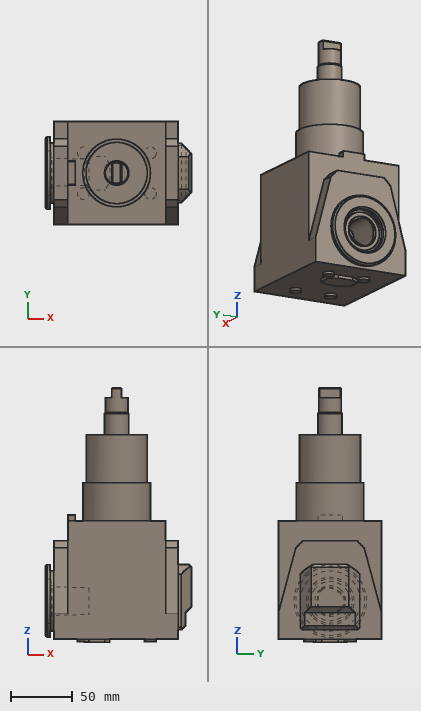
import cadquery as cq
import math


housing_width = 84.0
housing_height = 96.0
housing_half_length = 39.7
flange_left_x = -51.0
flange_right_x = 49.85
flange_top_z = -16.0
flange_taper_bottom_z = -75.0
flange_taper_angle = 15.0
flange_chamfer = 6.0

collar_diameter = 55.0
collar_top_z = 31.0
barrel_diameter = 49.8
barrel_top_z = 70.0
journal_diameter = 19.8
journal_top_z = 86.9
drive_diameter = 18.5
drive_cone_height = 1.2
drive_top_z = 100.2
tang_width = 8.0
tang_top_z = 108.2
tang_chamfer = 1.0
tang_root_fillet = 0.4

key_thickness = 6.2
key_length = 20.0
key_height = 5.1
key_chamfer = 0.7

spindle_z = -65.0
disc_diameter = 59.0
disc_face_x = -58.0
disc_back_x = -54.0
disc_chamfer = 1.5
neck_diameter = 49.0
recess_diameter = 36.0
recess_depth = 4.5
recess_chamfer = 1.4
spindle_diameter = 32.0
spindle_rise = 0.3
seat_diameter = 25.2
seat_depth = 1.0
polygon_mean_radius = 11.4
polygon_lobe = 0.8
polygon_depth = 30.0
polygon_taper = 1.5
lobe_count = 3
polygon_points = 24

cap_face_x = 61.0
cap_diameter = 65.0
cap_half_width = 24.3
cap_top_z = -35.3
cap_bottom_z = -88.6
cap_top_chamfer = 2.5
cap_rim = 2.5
cap_bevel_run = 9.0
cap_step_x = 56.1
cap_step_z = -69.7
cap_bottom_chamfer = 3.5

foot_diameter = 9.5
foot_height = 2.2
foot_x = 27.3
foot_y = 16.5
plate_center_x = -15.9
plate_length = 20.6
plate_width = 27.6
plate_flat_length = 12.4
plate_flat_width = 13.4
plate_height = 2.7


def x_cylinder(diameter, start_x, end_x):
    """Cylinder on the tool spindle axis between two X positions."""
    base = cq.Workplane("YZ", origin=(start_x, 0, spindle_z))
    return base.circle(diameter / 2).extrude(end_x - start_x)


def housing():
    block = cq.Workplane("XY").box(
        2 * housing_half_length, housing_width, housing_height, centered=(True, True, False)
    ).translate((0, 0, -housing_height))
    half_width = housing_width / 2
    shoulder_z = flange_top_z - flange_chamfer
    taper_height = shoulder_z - flange_taper_bottom_z
    shoulder_y = half_width - taper_height * math.tan(math.radians(flange_taper_angle))
    top_y = shoulder_y - flange_chamfer
    flanges = (
        cq.Workplane("YZ", origin=(flange_left_x, 0, 0))
        .polyline([
            (-half_width, -housing_height),
            (half_width, -housing_height),
            (half_width, flange_taper_bottom_z),
            (shoulder_y, shoulder_z),
            (top_y, flange_top_z),
            (-top_y, flange_top_z),
            (-shoulder_y, shoulder_z),
            (-half_width, flange_taper_bottom_z),
        ])
        .close()
        .extrude(flange_right_x - flange_left_x)
    )
    return block.union(flanges)


def drive_tang():
    """Round drive end, cut down to a flat tang with chamfered top and filleted root."""
    drive_radius = drive_diameter / 2
    end = (
        cq.Workplane("XY", origin=(0, 0, barrel_top_z))
        .circle(drive_radius)
        .extrude(tang_top_z - barrel_top_z)
        .faces(">Z")
        .chamfer(tang_chamfer)
    )
    half = tang_width / 2
    profile = (
        cq.Workplane("XZ", origin=(0, drive_diameter, 0))
        .moveTo(drive_diameter, barrel_top_z)
        .lineTo(drive_diameter, drive_top_z)
        .lineTo(half + tang_root_fillet, drive_top_z)
        .radiusArc((half, drive_top_z + tang_root_fillet), tang_root_fillet)
        .lineTo(half, tang_top_z - tang_chamfer)
        .lineTo(half - tang_chamfer, tang_top_z)
        .lineTo(0, tang_top_z)
        .lineTo(0, barrel_top_z)
        .close()
        .extrude(2 * drive_diameter)
    )
    return end.intersect(profile.union(profile.mirror("YZ")))


def shaft():
    outline = [
        (0, 0),
        (collar_diameter / 2, 0),
        (collar_diameter / 2, collar_top_z),
        (barrel_diameter / 2, collar_top_z),
        (barrel_diameter / 2, barrel_top_z),
        (journal_diameter / 2, barrel_top_z),
        (journal_diameter / 2, journal_top_z),
        (drive_diameter / 2, journal_top_z + drive_cone_height),
        (0, journal_top_z + drive_cone_height),
    ]
    turned = cq.Workplane("XZ").polyline(outline).close().revolve(360, (0, 0, 0), (0, 1, 0))
    return turned.union(drive_tang())


def key():
    center_x = -housing_half_length + key_thickness / 2
    return (
        cq.Workplane("XY", origin=(center_x, 0, 0))
        .rect(key_thickness, key_length)
        .extrude(key_height)
        .faces(">Z").edges("|X")
        .chamfer(key_chamfer)
    )


def spindle_disc():
    neck = x_cylinder(neck_diameter, disc_back_x, flange_left_x)
    disc = x_cylinder(disc_diameter, disc_face_x, disc_back_x).faces("<X").chamfer(disc_chamfer)
    return neck.union(disc)


def lobed_outline(mean_radius):
    """Points of a closed lobed curve with one lobe pointing to +Y."""
    points = []
    for index in range(polygon_points):
        angle = 2 * math.pi * index / polygon_points
        radius = mean_radius + polygon_lobe * math.cos(lobe_count * angle)
        points.append((radius * math.cos(angle), radius * math.sin(angle)))
    return points


def spindle_bore():
    rim_end_x = disc_face_x + recess_chamfer
    recess_floor_x = disc_face_x + recess_depth
    spindle_face_x = recess_floor_x - spindle_rise
    seat_floor_x = spindle_face_x + seat_depth
    recess_radius = recess_diameter / 2
    turned = (
        cq.Workplane("XY", origin=(0, 0, spindle_z))
        .polyline([
            (disc_face_x, 0),
            (disc_face_x, recess_radius + recess_chamfer),
            (rim_end_x, recess_radius),
            (recess_floor_x, recess_radius),
            (recess_floor_x, spindle_diameter / 2),
            (spindle_face_x, spindle_diameter / 2),
            (spindle_face_x, seat_diameter / 2),
            (seat_floor_x, seat_diameter / 2),
            (seat_floor_x, 0),
        ])
        .close()
        .revolve(360, (0, 0, 0), (1, 0, 0))
    )
    end_radius = polygon_mean_radius - polygon_depth * math.tan(math.radians(polygon_taper))
    polygon = (
        cq.Workplane("YZ", origin=(seat_floor_x, 0, spindle_z))
        .spline(lobed_outline(polygon_mean_radius), periodic=True, makeWire=True)
        .workplane(offset=polygon_depth)
        .spline(lobed_outline(end_radius), periodic=True, makeWire=True)
        .loft()
    )
    return turned.union(polygon)


def end_cap():
    """Round cap cut to a stepped side profile, with bevelled sides."""
    disc = x_cylinder(cap_diameter, flange_right_x, cap_face_x)
    step_depth = cap_face_x - cap_step_x
    side_profile = (
        cq.Workplane("XZ", origin=(0, cap_diameter / 2, 0))
        .polyline([
            (flange_right_x, cap_top_z),
            (cap_face_x - cap_top_chamfer, cap_top_z),
            (cap_face_x, cap_top_z - cap_top_chamfer),
            (cap_face_x, cap_step_z),
            (cap_step_x, cap_step_z - step_depth),
            (cap_step_x, cap_bottom_z + cap_bottom_chamfer),
            (cap_step_x - cap_bottom_chamfer, cap_bottom_z),
            (flange_right_x, cap_bottom_z),
        ])
        .close()
        .extrude(cap_diameter)
    )
    rim_x = flange_right_x + cap_rim
    face_half_width = cap_half_width - cap_bevel_run
    plan_profile = (
        cq.Workplane("XY", origin=(0, 0, -housing_height))
        .polyline([
            (flange_right_x, -cap_half_width),
            (rim_x, -cap_half_width),
            (cap_face_x, -face_half_width),
            (cap_face_x, face_half_width),
            (rim_x, cap_half_width),
            (flange_right_x, cap_half_width),
        ])
        .close()
        .extrude(housing_height)
    )
    return disc.intersect(side_profile).intersect(plan_profile)


def underside():
    bottom = cq.Workplane("XY", origin=(0, 0, -housing_height))
    corners = [(sx * foot_x, sy * foot_y) for sx in (-1, 1) for sy in (-1, 1)]
    feet = bottom.pushPoints(corners).circle(foot_diameter / 2).extrude(-foot_height)
    plate = (
        bottom.center(plate_center_x, 0)
        .polyline([
            (-plate_length / 2, -plate_flat_width / 2),
            (-plate_flat_length / 2, -plate_width / 2),
            (plate_flat_length / 2, -plate_width / 2),
            (plate_length / 2, -plate_flat_width / 2),
            (plate_length / 2, plate_flat_width / 2),
            (plate_flat_length / 2, plate_width / 2),
            (-plate_flat_length / 2, plate_width / 2),
            (-plate_length / 2, plate_flat_width / 2),
        ])
        .close()
        .extrude(-plate_height)
    )
    return plate.union(feet)


result = housing()
for feature in (shaft(), key(), spindle_disc(), end_cap(), underside()):
    result = result.union(feature)
result = result.cut(spindle_bore())